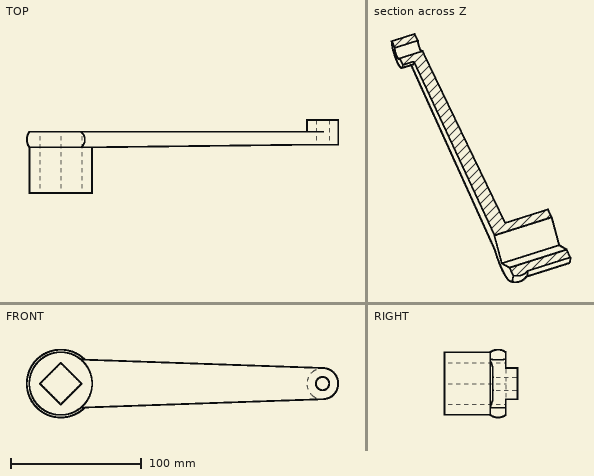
import cadquery as cq
import math


hub_radius = 24.0
hub_length = 47.0
square_side = 22.5

collar_width = 12.0
collar_radius = 26.045

arm_length = 200.0
arm_root_half_height = 19.0
arm_root_thickness = collar_width
arm_tip_thickness = 10.0
taper_start = hub_radius

boss_radius = 12.0
boss_rise = 9.0
pin_hole_diameter = 10.0
taper_end = arm_length - boss_radius


def cylinder_along_y(x, radius, y_front, y_back):
    """Cylinder parallel to Y, centred at (x, z = 0)."""
    base = cq.Workplane("XZ", origin=(x, y_back, 0))
    return base.circle(radius).extrude(y_back - y_front)


def make_hub():
    """Cylinder with a barrel-shaped collar around its back end."""
    cylinder = cylinder_along_y(0, hub_radius, -hub_length, 0)
    collar = (
        cq.Workplane("XY")
        .lineTo(hub_radius, 0)
        .threePointArc((collar_radius, -collar_width / 2), (hub_radius, -collar_width))
        .lineTo(0, -collar_width)
        .close()
        .revolve(360, (0, 0, 0), (0, 1, 0))
    )
    return cylinder.union(collar)


def make_arm():
    """Height outline tangent to the boss, cut to a tapering thickness profile."""
    root_distance = math.hypot(arm_length, arm_root_half_height)
    lean = math.atan2(arm_root_half_height, arm_length) - math.asin(boss_radius / root_distance)
    tip_x = arm_length + boss_radius * math.sin(lean)
    tip_z = boss_radius * math.cos(lean)
    height_outline = (
        cq.Workplane("XZ")
        .polyline([
            (0, -arm_root_half_height),
            (tip_x, -tip_z),
            (tip_x, tip_z),
            (0, arm_root_half_height),
        ])
        .close()
        .extrude(arm_root_thickness)
    )
    thickness_profile = (
        cq.Workplane("XY")
        .polyline([
            (0, 0),
            (0, -arm_root_thickness),
            (taper_start, -arm_root_thickness),
            (taper_end, -arm_tip_thickness),
            (tip_x, -arm_tip_thickness),
            (tip_x, 0),
        ])
        .close()
        .extrude(arm_root_half_height, both=True)
    )
    return height_outline.intersect(thickness_profile)


def make_square_socket():
    """Square through-socket standing on its corner."""
    half_diagonal = square_side / math.sqrt(2)
    return (
        cq.Workplane("XZ")
        .polyline([(half_diagonal, 0), (0, half_diagonal), (-half_diagonal, 0), (0, -half_diagonal)])
        .close()
        .extrude(hub_length)
    )


boss = cylinder_along_y(arm_length, boss_radius, -arm_tip_thickness, boss_rise)
pin_hole = cylinder_along_y(arm_length, pin_hole_diameter / 2, -arm_tip_thickness, boss_rise)

result = (
    make_hub()
    .union(make_arm())
    .union(boss)
    .cut(make_square_socket())
    .cut(pin_hole)
)